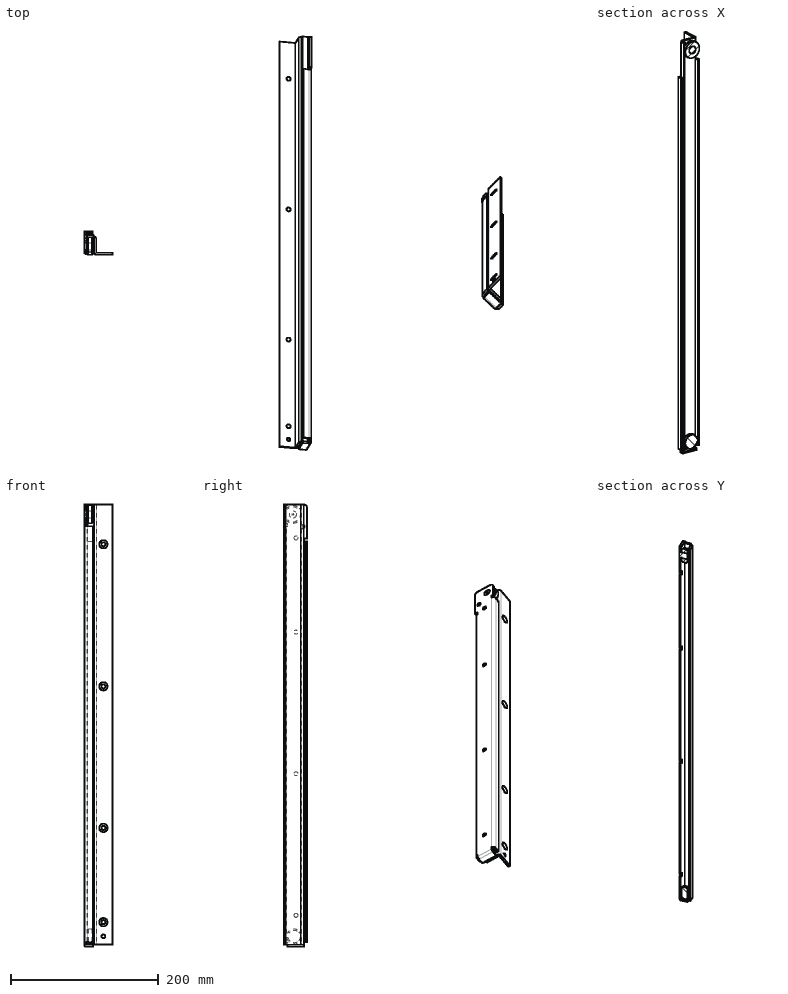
import cadquery as cq

LENGTH = 600.0
WIDTH = 38.5
HEIGHT = 32.0
SHEET = 3.0
BEND = 4.0

CHANNEL_DEPTH = 11.5
STOP_DEPTH = 12.0
CHANNEL_FRONT = 0.5
CHANNEL_BOTTOM = 6.5
FRONT_FLANGE_TOP = 570.5
BACK_FLANGE_TOP = 550.0
RELIEF = 3.5
PLATE_FRONT = 2.5
PLATE_RADIUS = 5.0
MOUNT_HOLE = 5.5
MOUNT_HOLE_HEIGHTS = (43.0, 235.0, 427.0, 555.0)
STOP_HOLE_Y = 25.0
STOP_HOLE_Z = 570.0

DRAWER_BOTTOM = 3.0
RISER_OUTSIDE = 16.0
SHELF_START = 4.0
SHELF_CHAMFER = 4.0
FOOT_HOLE_X = 26.0
SCREW_HOLE = 5.5
COUNTERSINK = 11.5
SCREW_HEIGHTS = (33.5, 161.5, 353.5, 546.0)
PILOT_HOLE = 5.0
PILOT_HEIGHT = 14.5

FRONT_ROLLER_DIAMETER = 24.0
REAR_ROLLER_DIAMETER = 20.5
ROLLER_START = 3.5
ROLLER_END = 12.0
ROLLER_CHAMFER = 2.0
AXLE_DIAMETER = 9.5
DIMPLE_DIAMETER = 2.5
DIMPLE_DEPTH = 1.0
FRONT_ROLLER_Z = 587.0
REAR_ROLLER_Z = 14.5

CHANNEL_MIDDLE = (CHANNEL_FRONT + HEIGHT) / 2
FRONT_ROLLER_Y = FRONT_ROLLER_DIAMETER / 2
SHELF_BOTTOM = FRONT_ROLLER_DIAMETER
SHELF_TOP = SHELF_BOTTOM + SHEET
REAR_ROLLER_Y = (CHANNEL_FRONT + SHEET + SHELF_BOTTOM) / 2


def block(x_range, y_range, z_range):
    """Box between the given limits."""
    (x0, x1), (y0, y1), (z0, z1) = x_range, y_range, z_range
    return cq.Workplane("XY").box(x1 - x0, y1 - y0, z1 - z0, centered=False).translate((x0, y0, z0))


def x_cylinder(diameter, y, z, start, end):
    """Cylinder along X between two X positions."""
    return cq.Workplane("YZ", origin=(start, y, z)).circle(diameter / 2).extrude(end - start)


def bent_channel():
    """C channel with rounded bends, its back flange shorter at the top than its front one."""
    outside = block((0, CHANNEL_DEPTH), (CHANNEL_FRONT, HEIGHT), (CHANNEL_BOTTOM, FRONT_FLANGE_TOP))
    outside = outside.edges("|Z and <X").fillet(BEND)
    inside = block(
        (SHEET, CHANNEL_DEPTH),
        (CHANNEL_FRONT + SHEET, HEIGHT - SHEET),
        (CHANNEL_BOTTOM, FRONT_FLANGE_TOP),
    )
    inside = inside.edges("|Z and <X").fillet(BEND - SHEET)
    back_clearance = block((0, CHANNEL_DEPTH), (HEIGHT - BEND, HEIGHT), (BACK_FLANGE_TOP, FRONT_FLANGE_TOP))
    return outside.cut(inside).cut(back_clearance)


def top_plate():
    """Flat plate above the flanges, with a relief notch over each of them."""
    plate = block((0, SHEET), (PLATE_FRONT, HEIGHT), (BACK_FLANGE_TOP, LENGTH))
    plate = plate.edges("|X and >Z").fillet(PLATE_RADIUS)
    front_notch = block((0, SHEET), (0, CHANNEL_FRONT + BEND), (BACK_FLANGE_TOP, FRONT_FLANGE_TOP + RELIEF))
    back_notch = block((0, SHEET), (HEIGHT - BEND, HEIGHT), (BACK_FLANGE_TOP, BACK_FLANGE_TOP + RELIEF))
    return plate.cut(front_notch).cut(back_notch)


def end_stop():
    """Lower end of the web, bent over toward +X to close the channel."""
    y_range = (CHANNEL_FRONT + BEND, HEIGHT - BEND)
    outside = block((0, STOP_DEPTH), y_range, (0, CHANNEL_BOTTOM))
    outside = outside.edges("|Y and <X and <Z").fillet(SHEET)
    inside = block((SHEET, STOP_DEPTH), y_range, (SHEET, CHANNEL_BOTTOM))
    return outside.cut(inside)


def make_fixed_rail():
    """Channel, top plate and end stop in one sheet, with its mounting, stop and axle holes."""
    rail = bent_channel().union(top_plate()).union(end_stop())
    for z in MOUNT_HOLE_HEIGHTS:
        rail = rail.cut(x_cylinder(MOUNT_HOLE, CHANNEL_MIDDLE, z, 0, SHEET))
    rail = rail.cut(x_cylinder(MOUNT_HOLE, STOP_HOLE_Y, STOP_HOLE_Z, 0, SHEET))
    return rail.cut(x_cylinder(AXLE_DIAMETER, FRONT_ROLLER_Y, FRONT_ROLLER_Z, 0, SHEET))


def drawer_rail_body():
    """Bent sheet of constant section along Z."""
    riser_inside = RISER_OUTSIDE - SHEET
    section = [
        (riser_inside, 0),
        (WIDTH, 0),
        (WIDTH, SHEET),
        (RISER_OUTSIDE, SHEET),
        (RISER_OUTSIDE, SHELF_TOP - SHELF_CHAMFER),
        (RISER_OUTSIDE - SHELF_CHAMFER, SHELF_TOP),
        (SHELF_START, SHELF_TOP),
        (SHELF_START, SHELF_BOTTOM),
        (riser_inside, SHELF_BOTTOM),
    ]
    body = cq.Workplane("XY", origin=(0, 0, DRAWER_BOTTOM)).polyline(section).close()
    body = body.extrude(LENGTH - DRAWER_BOTTOM)
    foot_corner = cq.selectors.NearestToPointSelector((riser_inside, 0, LENGTH / 2))
    return body.edges(foot_corner).fillet(SHEET)


def make_drawer_rail():
    """Drawer rail with countersunk screw holes and a pilot hole through its foot."""
    rail = drawer_rail_body()
    for z in SCREW_HEIGHTS:
        foot_point = cq.Workplane("XZ", origin=(FOOT_HOLE_X, 0, z))
        rail = rail.cut(foot_point.circle(SCREW_HOLE / 2).extrude(-SHEET))
        cone = cq.Solid.makeCone(
            COUNTERSINK / 2, SCREW_HOLE / 2, SHEET, cq.Vector(FOOT_HOLE_X, 0, z), cq.Vector(0, 1, 0)
        )
        rail = rail.cut(cq.Workplane(cone))
    pilot = cq.Workplane("XZ", origin=(FOOT_HOLE_X, 0, PILOT_HEIGHT)).circle(PILOT_HOLE / 2)
    return rail.cut(pilot.extrude(-SHEET))


def make_roller(diameter, y, z):
    """Disc along X with chamfered rims."""
    return x_cylinder(diameter, y, z, ROLLER_START, ROLLER_END).edges("%CIRCLE").chamfer(ROLLER_CHAMFER)


def make_front_roller():
    """Roller at the top of the fixed rail, bored for its axle."""
    roller = make_roller(FRONT_ROLLER_DIAMETER, FRONT_ROLLER_Y, FRONT_ROLLER_Z)
    return roller.cut(x_cylinder(AXLE_DIAMETER, FRONT_ROLLER_Y, FRONT_ROLLER_Z, ROLLER_START, ROLLER_END))


def make_front_axle():
    """Pin through web and roller, flush with both, with a center dimple in its outer end."""
    axle = x_cylinder(AXLE_DIAMETER, FRONT_ROLLER_Y, FRONT_ROLLER_Z, 0, ROLLER_END)
    return axle.cut(x_cylinder(DIMPLE_DIAMETER, FRONT_ROLLER_Y, FRONT_ROLLER_Z, 0, DIMPLE_DEPTH))


fixed_rail = make_fixed_rail()
drawer_rail = make_drawer_rail()
front_roller = make_front_roller()
rear_roller = make_roller(REAR_ROLLER_DIAMETER, REAR_ROLLER_Y, REAR_ROLLER_Z)
front_axle = make_front_axle()

result = cq.Compound.makeCompound([
    fixed_rail.val(),
    drawer_rail.val(),
    front_roller.val(),
    rear_roller.val(),
    front_axle.val(),
])